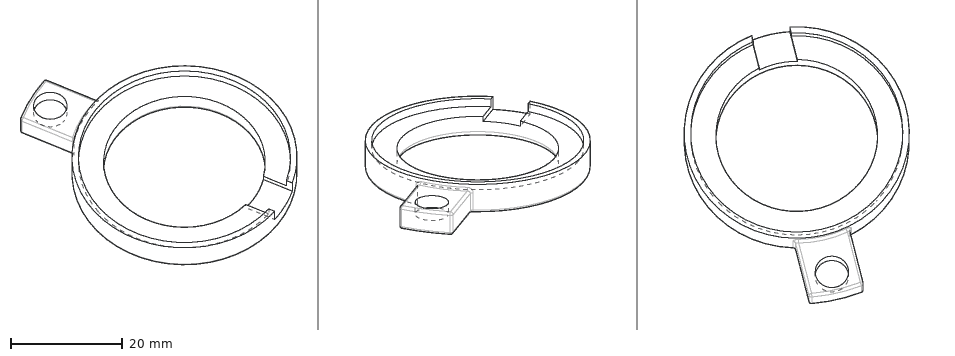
import cadquery as cq

ring_diameter = 40.4
bore_diameter = 29.0
ring_height = 5.5
rim_thickness = 1.2
seat_depth = 1.55

slot_width = 7.0
slot_floor = 3.0

overall_length = 51.15
tab_width = 10.0
tab_height = 4.4
socket_diameter = 6.0
socket_depth = 2.3
socket_end_distance = 4.0

edge_radius = 0.5
bore_edge_radius = 1.0

ring_radius = ring_diameter / 2
tab_reach = overall_length - ring_radius
seat_radius = ring_radius - rim_thickness


def make_ring_blank():
    return cq.Workplane("XY").circle(ring_radius).extrude(ring_height)


def make_tab():
    """Straight-sided tab, running into the ring and rounded at its outer end."""
    block = (
        cq.Workplane("XY")
        .box(tab_reach, tab_width, tab_height, centered=(False, True, False))
        .translate((-tab_reach, 0, 0))
    )
    end_disc = cq.Workplane("XY").circle(tab_reach).extrude(tab_height)
    tab = block.intersect(end_disc)
    tab = tab.edges("|Z and (not >X)").fillet(edge_radius)
    return tab.faces(">Z").edges("not >X").fillet(edge_radius)


def round_joint(body):
    """Blend the top and sides of the tab into the ring wall."""
    joint_box = cq.selectors.BoxSelector(
        (-ring_radius - edge_radius / 2, -tab_width, edge_radius / 2),
        (-bore_diameter / 2, tab_width, tab_height + edge_radius / 2),
    )
    return body.edges(joint_box).fillet(edge_radius)


def cut_ring(body):
    """Open the bore, the shallow seat inside the rim, and the side slot."""
    bore = cq.Workplane("XY").circle(bore_diameter / 2).extrude(ring_height)
    seat_floor = ring_height - seat_depth
    seat = cq.Workplane("XY", origin=(0, 0, seat_floor)).circle(seat_radius).extrude(seat_depth)
    slot = (
        cq.Workplane("XY", origin=(0, 0, slot_floor))
        .box(ring_diameter, slot_width, ring_height, centered=(False, True, False))
    )
    return body.cut(bore).cut(seat).cut(slot)


def cut_socket(body):
    """Blind round socket in the top of the tab."""
    socket = (
        cq.Workplane("XY", origin=(socket_end_distance - tab_reach, 0, tab_height - socket_depth))
        .circle(socket_diameter / 2)
        .extrude(socket_depth)
    )
    return body.cut(socket)


def round_underside(body):
    """Round the outer outline of the underside."""
    return body.faces("<Z").edges().fillet(edge_radius)


def round_bore_mouth(body):
    """Round the lower mouth of the bore, which lies wholly inside the bore box."""
    reach = bore_diameter / 2 + edge_radius
    bore_box = cq.selectors.BoxSelector(
        (-reach, -reach, -edge_radius), (reach, reach, edge_radius), boundingbox=True
    )
    return body.edges(bore_box).fillet(bore_edge_radius)


result = round_joint(make_ring_blank().union(make_tab()))
result = round_underside(result)
result = cut_ring(result)
result = round_bore_mouth(result)
result = cut_socket(result)